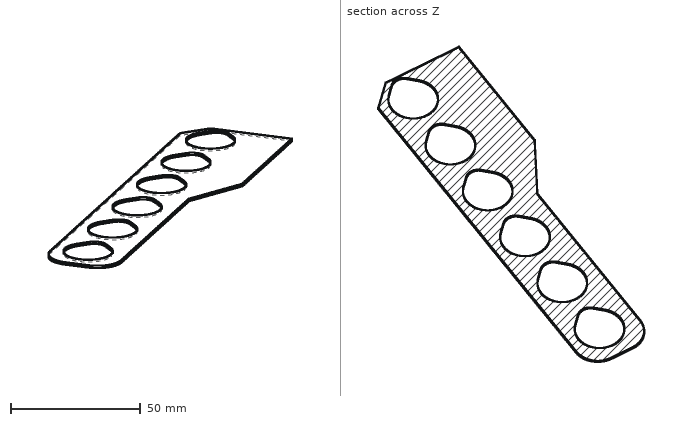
import cadquery as cq
import math

head_width = 42.68
arm_width = 29.35
length = 162.4
thickness = 1.0
head_side_length = 54.9
taper_angle = 30.0
corner_chamfer = 9.1
end_radius = 9.8

hole_count = 6
hole_pitch = 27.0
hole_center_x = 13.8
first_hole_y = 14.8
hole_radius = 9.55
flank_angle = 45.0
tip_height = 11.5


def make_plate():
    """Flat arm with a wider head, one chamfered corner and a rounded far end."""
    taper_top = length - head_side_length
    taper_length = (head_width - arm_width) / math.tan(math.radians(taper_angle))
    plate = (
        cq.Workplane("XY")
        .moveTo(0, 0)
        .lineTo(arm_width, 0)
        .lineTo(arm_width, taper_top - taper_length)
        .lineTo(head_width, taper_top)
        .lineTo(head_width, length)
        .lineTo(corner_chamfer, length)
        .lineTo(0, length - corner_chamfer)
        .close()
        .extrude(thickness)
    )
    end_corners = cq.selectors.BoxSelector(
        (-end_radius, -end_radius, -thickness),
        (head_width, end_radius, 2 * thickness),
    )
    return plate.edges("|Z").edges(end_corners).fillet(end_radius)


def make_teardrop(center_y):
    """Cutter: a circle joined by tangent flanks to a smaller rounded tip."""
    sin_flank = math.sin(math.radians(flank_angle))
    cos_flank = math.cos(math.radians(flank_angle))
    tip_radius = (hole_radius - tip_height * sin_flank) / (1 - sin_flank)
    tip_center = tip_height - tip_radius

    flank_x = hole_radius * cos_flank
    flank_y = hole_radius * sin_flank
    tip_x = tip_radius * cos_flank
    tip_y = tip_center + tip_radius * sin_flank
    return (
        cq.Workplane("XY")
        .center(hole_center_x, center_y)
        .moveTo(-flank_x, flank_y)
        .threePointArc((0, -hole_radius), (flank_x, flank_y))
        .lineTo(tip_x, tip_y)
        .threePointArc((0, tip_height), (-tip_x, tip_y))
        .close()
        .extrude(thickness)
    )


result = make_plate()
for index in range(hole_count):
    result = result.cut(make_teardrop(first_hole_y + index * hole_pitch))